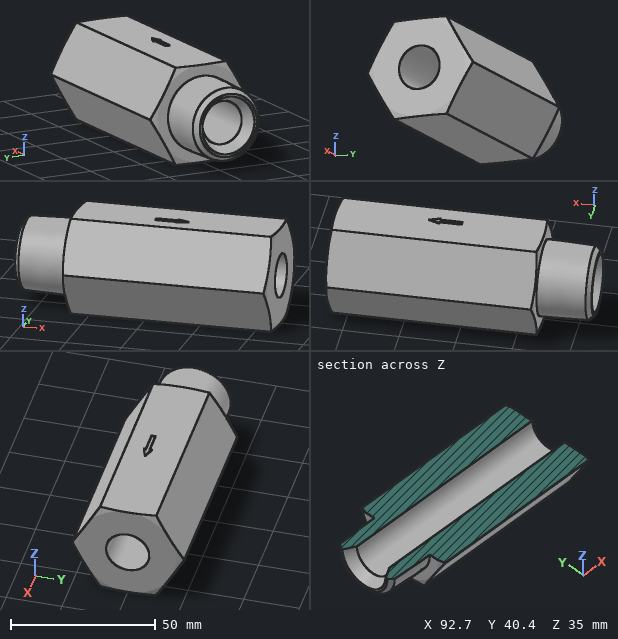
import cadquery as cq
import math

total_length = 92.7
hex_across_flats = 34.95
hex_across_corners = hex_across_flats / math.cos(math.radians(30))

spigot_length = 19.0
taper_end = 14.6
neck_diameter = 27.0
taper_rate = 1 / 16
nose_chamfer_length = 1.8
nose_diameter = 22.5

bore_diameter = 15.5
seat_diameter = 20.6
seat_depth = 4.5

hex_chamfer_angle = 15.0

arrow_tail_x = 48.4
arrow_length = 11.6
arrow_head_length = 3.8
arrow_head_width = 2.9
arrow_shaft_width = 1.4
arrow_center_y = -2.4
arrow_depth = 0.2


def revolve_about_x(points):
    """Revolve a closed (x, radius) outline about the X axis."""
    return cq.Workplane("XY").polyline(points).close().revolve(360, (0, 0, 0), (1, 0, 0))


def make_hex_body():
    """Hexagonal bar with flats facing +Z and -Z and its corners turned off at both ends."""
    bar = (
        cq.Workplane("YZ", origin=(spigot_length, 0, 0))
        .polygon(6, hex_across_corners)
        .extrude(total_length - spigot_length)
    )
    face_radius = hex_across_flats / 2
    corner_radius = hex_across_corners / 2
    setback = (corner_radius - face_radius) * math.tan(math.radians(hex_chamfer_angle))
    turned_envelope = revolve_about_x([
        (spigot_length, 0),
        (spigot_length, face_radius),
        (spigot_length + setback, corner_radius),
        (total_length - setback, corner_radius),
        (total_length, face_radius),
        (total_length, 0),
    ])
    return bar.intersect(turned_envelope)


def make_spigot():
    neck_radius = neck_diameter / 2
    taper_start_radius = neck_radius - (taper_end - nose_chamfer_length) * taper_rate / 2
    return revolve_about_x([
        (0, 0),
        (0, nose_diameter / 2),
        (nose_chamfer_length, taper_start_radius),
        (taper_end, neck_radius),
        (spigot_length, neck_radius),
        (spigot_length, 0),
    ])


def make_bore():
    bore_radius = bore_diameter / 2
    return revolve_about_x([
        (0, 0),
        (0, seat_diameter / 2),
        (seat_depth, bore_radius),
        (total_length, bore_radius),
        (total_length, 0),
    ])


def make_flow_arrow():
    """Arrow pointing along +X, sunk into the top flat."""
    tip_x = arrow_tail_x + arrow_length
    head_x = tip_x - arrow_head_length
    half_shaft = arrow_shaft_width / 2
    half_head = arrow_head_width / 2
    top_flat = cq.Workplane("XY", origin=(0, arrow_center_y, hex_across_flats / 2))
    outline = top_flat.polyline([
        (arrow_tail_x, -half_shaft),
        (head_x, -half_shaft),
        (head_x, -half_head),
        (tip_x, 0),
        (head_x, half_head),
        (head_x, half_shaft),
        (arrow_tail_x, half_shaft),
    ]).close()
    return outline.extrude(-arrow_depth)


result = make_hex_body().union(make_spigot()).cut(make_bore()).cut(make_flow_arrow())